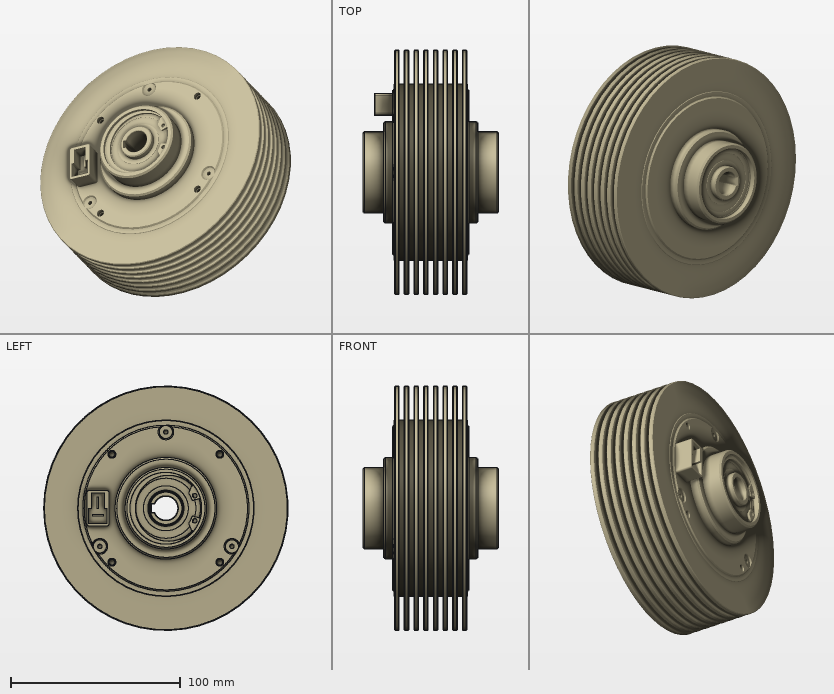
import cadquery as cq
import math

hub_half_length = 40.0
hub_radius = 24.0
collar_half_length = 27.8
collar_radius = 30.0
hub_chamfer = 1.0

cover_half_length = 22.5
cover_radius = 49.0
cover_chamfer = 0.9
rim_radius = 52.1
rim_chamfer = 0.5
rim_half_length = cover_half_length - cover_chamfer

fin_radius = 72.0
fin_thickness = 2.7
fin_count = 8
fin_center_span = 39.9
fin_pitch = fin_center_span / (fin_count - 1)
fin_chamfer = 0.5

seat_radius = 21.2
seat_depth = 3.5
bearing_radius = 20.5
bearing_setback = 0.3
seal_outer_radius = 17.7
seal_inner_radius = 13.2
seal_depth = 0.3
race_bore_radius = 10.7
race_relief_depth = 0.3
shaft_radius = 10.1
shaft_chamfer = 0.6
shaft_setback = 0.3
shaft_bore_radius = 7.0
shaft_bore_chamfer = 0.3
keyway_width = 5.0
keyway_reach = 8.5

clip_thickness = 1.5
clip_inner_radius = 19.5
clip_inner_offset = 1.5
lug_start_angle = 16.0
lug_end_angle = 34.0
lug_foot_angle = 42.0
lug_inner_radius = 16.1
lug_corner_radius = 0.9
lug_hole_radius = 1.3
lug_hole_circle = 18.6
lug_hole_angle = 23.4

fixing_circle = 45.0
recess_radius = 4.6
recess_taper = 0.7
screw_hole_radius = 1.3
screw_hole_depth = 4.3
screw_angles = (90, 210, 330)
tapped_hole_radius = 1.7
tapped_hole_entry_radius = 2.3
tapped_hole_entry_depth = 2.9
tapped_hole_depth = 7.2
drill_tip_angle = 118.0
tapped_angles = (45, 135, 225, 315)

plug_face = -33.1
plug_center_y = 40.0
plug_width = 13.0
plug_height = 21.0
plug_corner_radius = 1.3
plug_wall = 1.5
socket_wide = 10.8
socket_narrow = 7.6
socket_depth = 8.8
blade_length = 2.2
blade_thickness = 0.9
blade_width = 6.6
upper_blade_z = 3.3
lower_blade_z = -4.2


def along_x(x):
    """Sketch plane facing +X at position x; sketch axes are Y and Z."""
    return cq.Workplane("YZ", origin=(x, 0, 0))


def disc(radius, half_length, chamfer):
    """Disc centred on the origin along X, chamfered at both rims."""
    body = along_x(-half_length).circle(radius).extrude(2 * half_length)
    return body.faces("<X or >X").edges().chamfer(chamfer)


def on_circle(radius, angle):
    """Y, Z position at an angle in degrees from +Y."""
    return (radius * math.cos(math.radians(angle)), radius * math.sin(math.radians(angle)))


def fins():
    """Evenly spaced cooling discs, centred along X."""
    stack = cq.Workplane("YZ")
    fin = disc(fin_radius, fin_thickness / 2, fin_chamfer)
    for i in range(fin_count):
        stack = stack.union(fin.translate((i * fin_pitch - fin_center_span / 2, 0, 0)))
    return stack


def bearing_seat():
    """Ring-shaped cavity in the -X hub end, around the shaft end."""
    ledge = -hub_half_length + seat_depth
    seat = along_x(-hub_half_length).circle(seat_radius).extrude(seat_depth)
    bearing = along_x(ledge).circle(bearing_radius).extrude(bearing_setback)
    race = along_x(ledge + bearing_setback)
    seal = race.circle(seal_outer_radius).circle(seal_inner_radius).extrude(seal_depth)
    relief = race.circle(race_bore_radius).extrude(race_relief_depth)
    shaft = along_x(-hub_half_length + shaft_setback).circle(shaft_radius).extrude(hub_half_length)
    shaft = shaft.faces("<X").chamfer(shaft_chamfer)
    return seat.union(bearing).union(seal).union(relief).cut(shaft)


def tapered_recess(center, x, mouth_radius, floor_radius, depth):
    """Conical cutter entering a -X facing surface at position x."""
    mouth = along_x(x).center(*center).circle(mouth_radius).workplane(offset=depth)
    return mouth.circle(floor_radius).loft()


def shaft_bore():
    """Through bore with a keyway towards +Y, chamfered at both shaft ends."""
    end = along_x(-hub_half_length)
    bore = end.circle(shaft_bore_radius).extrude(2 * hub_half_length)
    keyway = end.center(keyway_reach / 2, 0).rect(keyway_reach, keyway_width)
    lead_in = tapered_recess(
        (0, 0),
        -hub_half_length + shaft_setback,
        shaft_bore_radius + shaft_bore_chamfer,
        shaft_bore_radius,
        shaft_bore_chamfer,
    )
    bore = bore.union(keyway.extrude(2 * hub_half_length))
    return bore.union(lead_in).union(lead_in.mirror("YZ"))


def retaining_ring():
    """Eccentric ring, thickest at +Y, open at -Y with a pierced lug at each end."""
    back = along_x(-hub_half_length + seat_depth - clip_thickness)
    ring = back.circle(seat_radius).extrude(clip_thickness)
    ring = ring.cut(back.center(-clip_inner_offset, 0).circle(clip_inner_radius).extrude(clip_thickness))
    gap = [(0, 0)] + [on_circle(2 * seat_radius, 180 + side * lug_foot_angle) for side in (-1, 1)]
    ring = ring.cut(back.polyline(gap).close().extrude(clip_thickness))
    inner_lug_corners = cq.selectors.BoxSelector(
        (-hub_half_length, -lug_inner_radius, -lug_inner_radius), (0, 0, lug_inner_radius)
    )
    for side in (-1, 1):
        start = 180 + side * lug_start_angle
        end = 180 + side * lug_end_angle
        foot = 180 + side * lug_foot_angle
        middle = (start + end) / 2
        lug = (
            back.moveTo(*on_circle(lug_inner_radius, start))
            .threePointArc(on_circle(lug_inner_radius, middle), on_circle(lug_inner_radius, end))
            .lineTo(*on_circle(seat_radius, foot))
            .threePointArc(on_circle(seat_radius, middle), on_circle(seat_radius, start))
            .close().extrude(clip_thickness)
        )
        lug = lug.edges("|X").edges(inner_lug_corners).fillet(lug_corner_radius)
        hole_center = on_circle(lug_hole_circle, 180 + side * lug_hole_angle)
        lug = lug.cut(back.center(*hole_center).circle(lug_hole_radius).extrude(clip_thickness))
        ring = ring.union(lug)
    return ring


def drilled_hole(center, radius, depth):
    """Blind hole cutter entering the -X cover face, ending in a drill tip."""
    tip_length = radius / math.tan(math.radians(drill_tip_angle / 2))
    face = along_x(-cover_half_length).center(*center)
    tip = cq.Solid.makeCone(
        radius, 0, tip_length, face.workplane(offset=depth).plane.origin, face.plane.zDir
    )
    return face.circle(radius).extrude(depth).union(tip)


def cover_holes():
    """Cutter for three recessed screws and four counterbored tapped holes."""
    cutter = cq.Workplane("YZ")
    for angle in screw_angles:
        center = on_circle(fixing_circle, angle)
        recess = tapered_recess(
            center, -cover_half_length, recess_radius, recess_radius - recess_taper, cover_chamfer
        )
        cutter = cutter.union(recess)
        cutter = cutter.union(drilled_hole(center, screw_hole_radius, screw_hole_depth))
    for angle in tapped_angles:
        center = on_circle(fixing_circle, angle)
        entry = along_x(-cover_half_length).center(*center).circle(tapped_hole_entry_radius)
        cutter = cutter.union(entry.extrude(tapped_hole_entry_depth))
        cutter = cutter.union(drilled_hole(center, tapped_hole_radius, tapped_hole_depth))
    return cutter


def connector():
    """Housing with a stepped socket and two contact blades on the socket floor."""
    length = -rim_half_length - plug_face
    front = along_x(plug_face).center(plug_center_y, 0)
    housing = front.rect(plug_width, plug_height).extrude(length)
    housing = housing.edges("|X").fillet(plug_corner_radius)
    half_socket = plug_height / 2 - plug_wall
    for width, side in ((socket_narrow, 1), (socket_wide, -1)):
        housing = housing.cut(
            front.center(0, side * half_socket / 2).rect(width, half_socket).extrude(socket_depth)
        )
    blade_tip = along_x(plug_face + socket_depth - blade_length)
    blades = (
        (upper_blade_z, blade_thickness, blade_width),
        (lower_blade_z, blade_width, blade_thickness),
    )
    for z, size_y, size_z in blades:
        blade = blade_tip.center(plug_center_y, z).rect(size_y, size_z).extrude(blade_length)
        housing = housing.union(blade)
    return housing


seat = bearing_seat()

result = (
    disc(rim_radius, rim_half_length, rim_chamfer)
    .union(disc(cover_radius, cover_half_length, cover_chamfer))
    .union(disc(collar_radius, collar_half_length, hub_chamfer))
    .union(disc(hub_radius, hub_half_length, hub_chamfer))
    .union(fins())
    .cut(seat)
    .cut(seat.mirror("YZ"))
    .cut(shaft_bore())
    .union(retaining_ring())
    .cut(cover_holes())
    .union(connector())
)